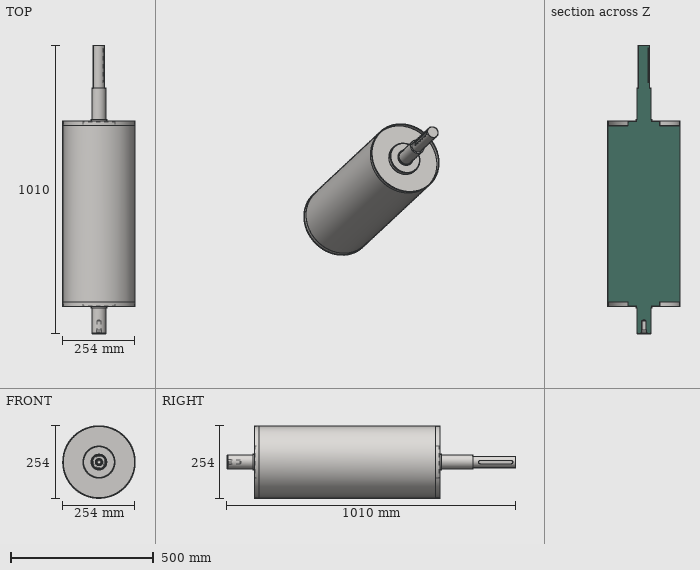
import cadquery as cq
import math


drum_diameter = 254.0
drum_length = 650.0
recess_diameter = 250.0
recess_depth = 16.0

hub_diameter = 112.0
hub_height = 15.0
hub_chamfer = 2.0
collar_diameter = 55.0
collar_chamfer = 0.5
collar_overhang = 5.0

total_length = 1010.0
journal_diameter = 50.0
journal_chamfer = 2.0
rear_journal_length = 115.0
tail_diameter = 40.0
tail_length = 150.0
front_journal_length = total_length - drum_length - rear_journal_length - tail_length

keyway_width = 12.0
keyway_depth = 5.0
keyway_length = 120.0
keyway_end_gap = 10.0

mouth_diameter = 25.0
centre_cone_diameter = 23.0
counterbore_diameter = 17.0
tap_diameter = 13.84
counterbore_depth = 13.0
tap_depth = 45.0
mouth_angle = 120.0
centre_cone_angle = 60.0
drill_point_angle = 120.0

rim_y = drum_length / 2
disc_face_y = rim_y - recess_depth
front_end_y = -rim_y - front_journal_length
rear_end_y = front_end_y + total_length


def cylinder(diameter, start_y, end_y):
    """Solid cylinder on the Y axis between two stations."""
    start = cq.Vector(0, start_y, 0)
    axis = cq.Vector(0, 1, 0)
    return cq.Workplane(cq.Solid.makeCylinder(diameter / 2, end_y - start_y, start, axis))


def make_drum():
    """Drum with a shallow recess inside the rim at both ends."""
    drum = cylinder(drum_diameter, -rim_y, rim_y)
    drum = drum.cut(cylinder(recess_diameter, -rim_y, -disc_face_y))
    return drum.cut(cylinder(recess_diameter, disc_face_y, rim_y))


def make_hubs():
    """Chamfered hubs and collars, the same at both ends of the drum."""
    hub_end_y = disc_face_y + hub_height
    collar_end_y = rim_y + collar_overhang
    hubs = cylinder(hub_diameter, -hub_end_y, hub_end_y).edges("%CIRCLE").chamfer(hub_chamfer)
    collars = cylinder(collar_diameter, -collar_end_y, collar_end_y)
    return hubs.union(collars.edges("%CIRCLE").chamfer(collar_chamfer))


def make_shaft():
    """Stepped shaft through the whole drum."""
    journal_end_y = rim_y + rear_journal_length
    journal = cylinder(journal_diameter, front_end_y, journal_end_y).faces("<Y").chamfer(journal_chamfer)
    return journal.union(cylinder(tail_diameter, journal_end_y, journal_end_y + tail_length))


def make_keyway():
    """Slot cutter that sinks into the tail from the +X side."""
    centre_y = rear_end_y - keyway_end_gap - keyway_length / 2
    floor_x = tail_diameter / 2 - keyway_depth
    return (
        cq.Workplane("YZ", origin=(floor_x, centre_y, 0))
        .slot2D(keyway_length, keyway_width)
        .extrude(tail_diameter / 2)
    )


def cone_depth(large_diameter, small_diameter, included_angle):
    """Axial length of a cone between two diameters."""
    return (large_diameter - small_diameter) / 2 / math.tan(math.radians(included_angle / 2))


def make_centre_hole():
    """Revolved cutter: countersink, centre cone, counterbore, tap bore and drill point."""
    mouth_y = front_end_y + cone_depth(mouth_diameter, centre_cone_diameter, mouth_angle)
    cone_y = mouth_y + cone_depth(centre_cone_diameter, counterbore_diameter, centre_cone_angle)
    counterbore_y = front_end_y + counterbore_depth
    tap_y = front_end_y + tap_depth
    point_y = tap_y + cone_depth(tap_diameter, 0, drill_point_angle)
    profile = (
        cq.Workplane("XY")
        .moveTo(0, front_end_y)
        .lineTo(mouth_diameter / 2, front_end_y)
        .lineTo(centre_cone_diameter / 2, mouth_y)
        .lineTo(counterbore_diameter / 2, cone_y)
        .lineTo(counterbore_diameter / 2, counterbore_y)
        .lineTo(tap_diameter / 2, counterbore_y)
        .lineTo(tap_diameter / 2, tap_y)
        .lineTo(0, point_y)
        .close()
    )
    return profile.revolve(360, (0, 0, 0), (0, 1, 0))


result = make_drum().union(make_hubs()).union(make_shaft())
result = result.cut(make_keyway()).cut(make_centre_hole())